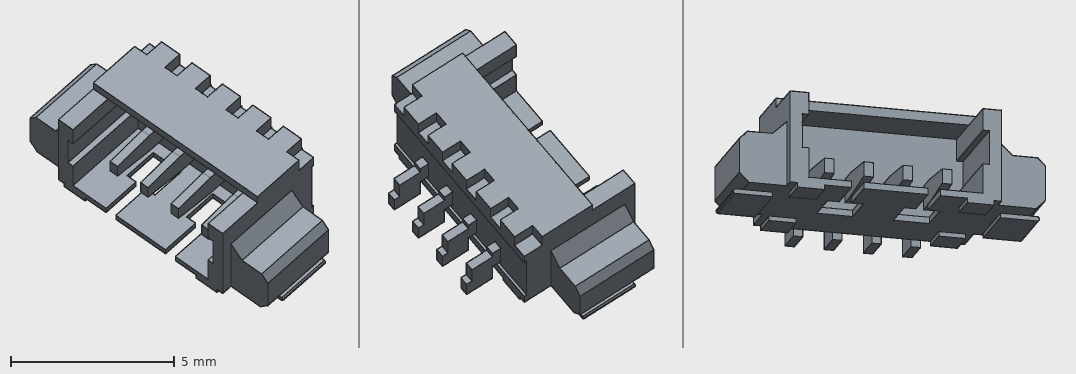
import cadquery as cq


TOTAL_LENGTH = 9.75
TOTAL_DEPTH = 5.41
TOTAL_HEIGHT = 3.4
STANDOFF = 0.15

HOUSING_LENGTH = 6.73
HOUSING_DEPTH = 4.2
CAVITY_LENGTH = 5.54
CAVITY_DEPTH = 3.0
FLOOR_THICKNESS = 0.2
ROOF_THICKNESS = 0.3
ROOF_SETBACK = 1.61
FLOOR_TOP = STANDOFF + FLOOR_THICKNESS
ROOF_BOTTOM = TOTAL_HEIGHT - ROOF_THICKNESS

KEY_GROOVE_DEPTH = 0.2
KEY_GROOVE_BOTTOM = 1.31
KEY_GROOVE_TOP = 2.4

REAR_RECESS_DEPTH = 0.09
REAR_RECESS_BOTTOM = 0.51
REAR_RECESS_TOP = 2.51

NOTCH_WIDTH = 0.5
NOTCH_LENGTH = 0.68
NOTCH_HEIGHT = 0.51

SLOT_OFFSET = 1.22
SLOT_WIDTH = 0.4
SLOT_HEAD_WIDTH = 1.14
SLOT_HEAD_START = 1.39
SLOT_HEAD_END = 2.6

FOOT_INNER_X = 2.27
FOOT_WIDTH = 0.86
FOOT_LENGTH = 0.96

EAR_FRONT = 0.38
EAR_REAR = 3.19
EAR_ROOT_TOP = 2.23
EAR_TOP = 1.8
EAR_SLOPE_RUN = 0.46
EAR_TOP_CHAMFER = 0.25
EAR_BOTTOM_CHAMFER = 0.3

TAB_INNER_X = 3.63
TAB_FRONT = 1.08
TAB_REAR = 3.05
TAB_EDGE_CHAMFER = 0.05

PIN_COUNT = 4
PIN_PITCH = 1.25
PIN_WIDTH = 0.3
PIN_BOTTOM = 0.72
PIN_TOP = 1.48
PIN_TIP_Y = 0.88
PIN_TIP_DROP = 0.15
PIN_TAPER_START = 2.35
LEG_FRONT = 4.43
LEG_SHOULDER_TOP = 1.28
LEG_SHOULDER_REAR = 5.21
SOLDER_FOOT_TOP = 0.6

PIN_POSITIONS = [(i - (PIN_COUNT - 1) / 2) * PIN_PITCH for i in range(PIN_COUNT)]
SIDES = (-1, 1)


def block(x_range, y_range, z_range):
    """Box spanning the given ranges; each range may be given in either order."""
    spans = [sorted(r) for r in (x_range, y_range, z_range)]
    sizes = [high - low for low, high in spans]
    corner = [low for low, _ in spans]
    return cq.Workplane("XY").box(*sizes, centered=False).translate(tuple(corner))


def centred_block(x_centre, width, y_range, z_range):
    """Box of a given width about an X position."""
    return block((x_centre - width / 2, x_centre + width / 2), y_range, z_range)


def extrude_along_y(points, y_front, y_rear):
    """Prism from an XZ outline, running from y_front to y_rear."""
    profile = cq.Workplane("XZ", origin=(0, y_front, 0)).polyline(points).close()
    return profile.extrude(y_front - y_rear)


def make_shell():
    """Housing block with the mating cavity and the keying grooves."""
    shell = centred_block(0, HOUSING_LENGTH, (0, HOUSING_DEPTH), (STANDOFF, TOTAL_HEIGHT))
    cavity = centred_block(0, CAVITY_LENGTH, (0, CAVITY_DEPTH), (FLOOR_TOP, ROOF_BOTTOM))
    grooves = centred_block(
        0, CAVITY_LENGTH + 2 * KEY_GROOVE_DEPTH, (0, CAVITY_DEPTH), (KEY_GROOVE_BOTTOM, KEY_GROOVE_TOP)
    )
    open_roof = centred_block(0, HOUSING_LENGTH, (0, ROOF_SETBACK), (ROOF_BOTTOM, TOTAL_HEIGHT))
    return shell.cut(cavity).cut(grooves).cut(open_roof)


def make_ear(side):
    """Side ear that carries a solder tab."""
    root_x = HOUSING_LENGTH / 2
    outer_x = TOTAL_LENGTH / 2
    outline = [
        (root_x, STANDOFF),
        (root_x, EAR_ROOT_TOP),
        (root_x + EAR_SLOPE_RUN, EAR_TOP),
        (outer_x - EAR_TOP_CHAMFER, EAR_TOP),
        (outer_x, EAR_TOP - EAR_TOP_CHAMFER),
        (outer_x, STANDOFF + EAR_BOTTOM_CHAMFER),
        (outer_x - EAR_BOTTOM_CHAMFER, STANDOFF),
    ]
    return extrude_along_y([(side * x, z) for x, z in outline], EAR_FRONT, EAR_REAR)


def cut_rear_recess(housing):
    recess = centred_block(
        0,
        HOUSING_LENGTH,
        (HOUSING_DEPTH - REAR_RECESS_DEPTH, HOUSING_DEPTH),
        (REAR_RECESS_BOTTOM, REAR_RECESS_TOP),
    )
    return housing.cut(recess)


def cut_rear_notches(housing):
    """One notch above each pin and one at each end of the rear top edge."""
    end_x = (HOUSING_LENGTH - NOTCH_WIDTH) / 2
    for x in [-end_x, *PIN_POSITIONS, end_x]:
        notch = centred_block(
            x,
            NOTCH_WIDTH,
            (HOUSING_DEPTH - NOTCH_LENGTH, HOUSING_DEPTH),
            (TOTAL_HEIGHT - NOTCH_HEIGHT, TOTAL_HEIGHT),
        )
        housing = housing.cut(notch)
    return housing


def cut_floor_slots(housing):
    floor_z = (STANDOFF, FLOOR_TOP)
    for side in SIDES:
        x = side * SLOT_OFFSET
        stem = centred_block(x, SLOT_WIDTH, (0, SLOT_HEAD_START), floor_z)
        head = centred_block(x, SLOT_HEAD_WIDTH, (SLOT_HEAD_START, SLOT_HEAD_END), floor_z)
        housing = housing.cut(stem).cut(head)
    return housing


def add_feet(housing):
    """Front and rear foot on each side of the underside."""
    for side in SIDES:
        x_range = (side * FOOT_INNER_X, side * (FOOT_INNER_X + FOOT_WIDTH))
        for y_front in (0, HOUSING_DEPTH - FOOT_LENGTH):
            foot = block(x_range, (y_front, y_front + FOOT_LENGTH), (0, STANDOFF))
            housing = housing.union(foot)
    return housing


def make_pin(x):
    """Pin with a tapered contact blade and a stepped solder leg."""
    outline = [
        (PIN_TIP_Y, PIN_BOTTOM + PIN_TIP_DROP),
        (PIN_TIP_Y, PIN_TOP - PIN_TIP_DROP),
        (PIN_TAPER_START, PIN_TOP),
        (LEG_FRONT, PIN_TOP),
        (LEG_FRONT, LEG_SHOULDER_TOP),
        (LEG_SHOULDER_REAR, LEG_SHOULDER_TOP),
        (LEG_SHOULDER_REAR, SOLDER_FOOT_TOP),
        (TOTAL_DEPTH, SOLDER_FOOT_TOP),
        (TOTAL_DEPTH, 0),
        (LEG_FRONT, 0),
        (LEG_FRONT, PIN_BOTTOM),
        (PIN_TAPER_START, PIN_BOTTOM),
    ]
    profile = cq.Workplane("YZ", origin=(x - PIN_WIDTH / 2, 0, 0)).polyline(outline).close()
    return profile.extrude(PIN_WIDTH)


def make_tab(side):
    """Flat solder tab with a chamfered outer edge."""
    outer_x = TOTAL_LENGTH / 2
    outline = [
        (TAB_INNER_X, 0),
        (outer_x - TAB_EDGE_CHAMFER, 0),
        (outer_x, TAB_EDGE_CHAMFER),
        (outer_x, STANDOFF - TAB_EDGE_CHAMFER),
        (outer_x - TAB_EDGE_CHAMFER, STANDOFF),
        (TAB_INNER_X, STANDOFF),
    ]
    return extrude_along_y([(side * x, z) for x, z in outline], TAB_FRONT, TAB_REAR)


def make_housing():
    housing = make_shell()
    for side in SIDES:
        housing = housing.union(make_ear(side))
    housing = cut_rear_recess(housing)
    housing = cut_rear_notches(housing)
    housing = cut_floor_slots(housing)
    housing = add_feet(housing)
    for x in PIN_POSITIONS:
        housing = housing.cut(make_pin(x))
    return housing


housing = make_housing()
pins = [make_pin(x) for x in PIN_POSITIONS]
tabs = [make_tab(side) for side in SIDES]

result = cq.Compound.makeCompound(
    [housing.val(), *[pin.val() for pin in pins], *[tab.val() for tab in tabs]]
)